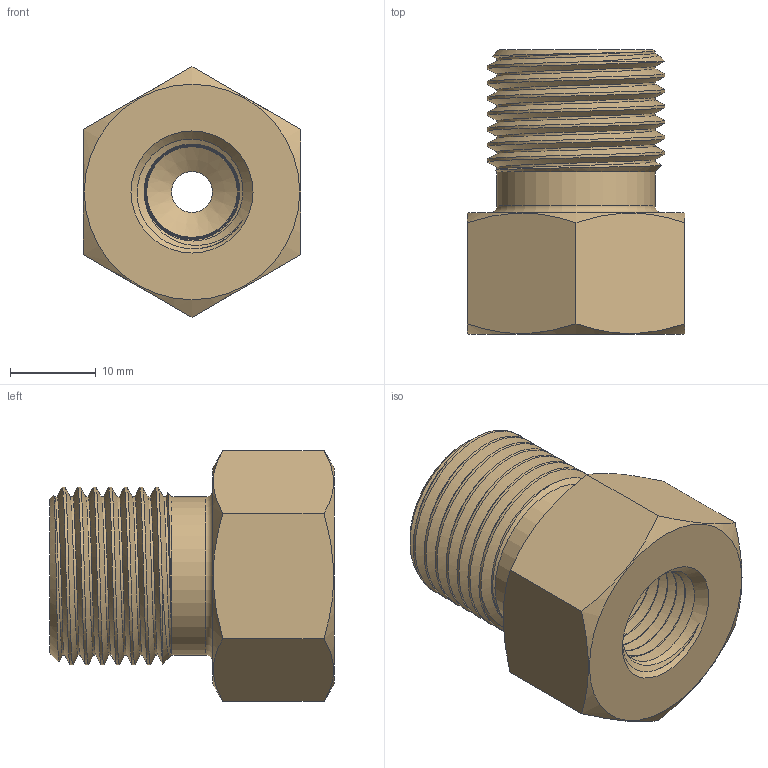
import cadquery as cq
import math


total_length = 33.27
hex_across_flats = 25.4
hex_length = 14.22
hex_chamfer_angle = 30.0
hex_face_diameter = 25.2
hex_across_corners = hex_across_flats / math.cos(math.pi / 6)

neck_diameter = 18.49
neck_end = 18.98
neck_fillet = 0.8

male_pitch = 25.4 / 14
male_major_diameter = 20.8
male_root_diameter = 18.52
male_root_flat = 0.3
male_flank_angle = 27.5
male_tip_diameter = 18.0
male_groove_start = 16.68
male_groove_turns = 10

female_pitch = 25.4 / 18
female_taper = 1 / 16
female_mouth_diameter = 11.33
female_bore_depth = 11.5
female_groove_depth = 1.12
female_root_flat = 0.03
female_flank_angle = 30.0
female_groove_start = -2.59
female_groove_turns = 9.4
mouth_chamfer_diameter = 14.27
mouth_chamfer_angle = 45.0

passage_diameter = 4.8
drill_point_angle = 118.0

male_groove_clearance = 0.08
female_groove_clearance = 0.05

cylindrical = 360.0


def revolved(profile):
    """Solid of revolution about Z from (radius, height) points."""
    return cq.Workplane("XZ").polyline(profile).close().revolve(360, (0, 0), (0, 1))


def helical_groove(pitch, turns, start, root_radius, root_flat, open_radius, flank_angle, cone_angle=cylindrical):
    """Trapezoidal groove wound right-handed about Z, with its first centre on +X at `start`."""
    root_half = root_flat / 2
    open_half = root_half + abs(open_radius - root_radius) * math.tan(math.radians(flank_angle))
    profile = cq.Wire.makePolygon(
        [
            cq.Vector(root_radius, 0, start - root_half),
            cq.Vector(open_radius, 0, start - open_half),
            cq.Vector(open_radius, 0, start + open_half),
            cq.Vector(root_radius, 0, start + root_half),
        ],
        close=True,
    )
    origin = cq.Vector(0, 0, start)
    axis = cq.Vector(0, 0, 1)
    path = cq.Wire.makeHelix(pitch, pitch * turns, root_radius, origin, axis, cone_angle)
    return cq.Workplane(cq.Solid.sweep(profile, [], path, True, True))


def make_hexagon():
    """Hexagon with corners on local Y, both ends turned to a conical chamfer."""
    prism = cq.Workplane("XY").polygon(6, hex_across_corners).extrude(hex_length)
    prism = prism.rotate((0, 0, 0), (0, 0, 1), 90)
    face_radius = hex_face_diameter / 2
    outer_radius = hex_across_corners
    rise = (outer_radius - face_radius) * math.tan(math.radians(hex_chamfer_angle))
    envelope = revolved(
        [
            (0, 0),
            (face_radius, 0),
            (outer_radius, rise),
            (outer_radius, hex_length - rise),
            (face_radius, hex_length),
            (0, hex_length),
        ]
    )
    return prism.intersect(envelope)


def make_neck():
    """Plain neck with a concave fillet where it meets the hexagon."""
    radius = neck_diameter / 2
    fillet_mid = neck_fillet * (1 - math.sqrt(0.5))
    return (
        cq.Workplane("XZ")
        .moveTo(0, hex_length)
        .lineTo(radius + neck_fillet, hex_length)
        .threePointArc(
            (radius + fillet_mid, hex_length + fillet_mid),
            (radius, hex_length + neck_fillet),
        )
        .lineTo(radius, neck_end)
        .lineTo(0, neck_end)
        .close()
        .revolve(360, (0, 0), (0, 1))
    )


def make_male_thread():
    """Barrel with 45 degree end chamfers, cut by one helical groove."""
    neck_radius = neck_diameter / 2
    major_radius = male_major_diameter / 2
    tip_radius = male_tip_diameter / 2
    barrel = revolved(
        [
            (0, neck_end),
            (neck_radius, neck_end),
            (major_radius, neck_end + major_radius - neck_radius),
            (major_radius, total_length - (major_radius - tip_radius)),
            (tip_radius, total_length),
            (0, total_length),
        ]
    )
    groove = helical_groove(
        male_pitch,
        male_groove_turns,
        male_groove_start,
        male_root_diameter / 2,
        male_root_flat,
        major_radius + male_groove_clearance,
        male_flank_angle,
    )
    return barrel.cut(groove)


def cut_bore(body):
    """Mouth chamfer, tapered bore, drill-point cone and through passage."""
    mouth_radius = female_mouth_diameter / 2
    bottom_radius = mouth_radius - female_bore_depth * female_taper / 2
    passage_radius = passage_diameter / 2
    cone_depth = (bottom_radius - passage_radius) / math.tan(math.radians(drill_point_angle / 2))
    bore = revolved(
        [
            (0, 0),
            (mouth_radius, 0),
            (bottom_radius, female_bore_depth),
            (passage_radius, female_bore_depth + cone_depth),
            (passage_radius, total_length),
            (0, total_length),
        ]
    )
    chamfer_apex = mouth_chamfer_diameter / 2 / math.tan(math.radians(mouth_chamfer_angle))
    chamfer = revolved(
        [
            (0, 0),
            (mouth_chamfer_diameter / 2, 0),
            (0, chamfer_apex),
        ]
    )
    return body.cut(bore).cut(chamfer)


def make_female_groove():
    """Helical groove following the taper of the bore."""
    start_radius = (female_mouth_diameter - female_groove_start * female_taper) / 2
    return helical_groove(
        female_pitch,
        female_groove_turns,
        female_groove_start,
        start_radius + female_groove_depth,
        female_root_flat,
        start_radius - female_groove_clearance,
        female_flank_angle,
        -math.degrees(math.atan(female_taper / 2)),
    )


blank = make_hexagon().union(make_neck())
threaded = blank.union(make_male_thread())
body = cut_bore(threaded.cut(make_female_groove()))
result = cq.Workplane(body.rotate((0, 0, 0), (1, 0, 0), -90).solids().val())